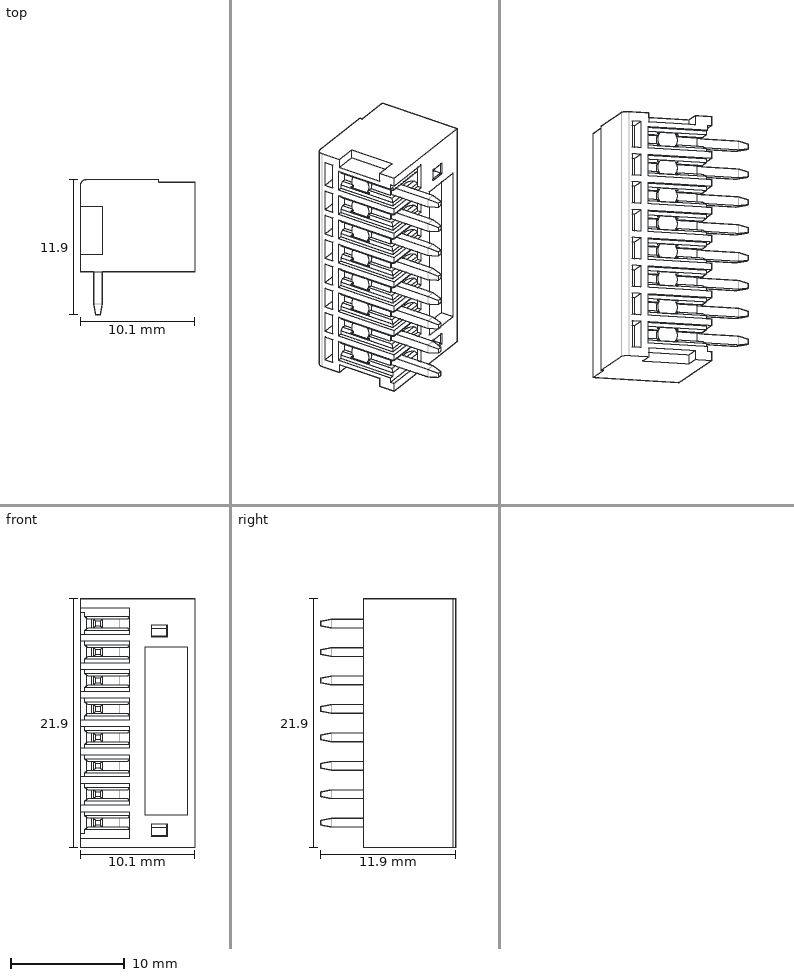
import cadquery as cq
import math

WIDTH = 10.1
DEPTH = 8.12
HEIGHT = 21.9
BACK_RADIUS = 0.53
BACK_STEP_X = 6.88
BACK_STEP = 0.25

PIN_COUNT = 8
ROW_LENGTH = 17.5
PITCH = ROW_LENGTH / (PIN_COUNT - 1)
PIN_SIZE = 0.79
PIN_X = 1.55
PIN_LENGTH = 3.77
PIN_TAPER = 0.96
PIN_TIP = 0.42
PIN_ROOT = 0.22

SLOT_HEIGHT = 1.9
SLOT_WIDTH = 4.34
SLOT_REACH = 5.85
RECESS = 0.37
END_SLOT_EXTRA = 0.44
THROAT_BEVEL_HEIGHT = 0.22
THROAT_BEVEL_DEPTH = 0.28
THROAT_HEIGHT = PIN_SIZE
THROAT_MOUTH = THROAT_HEIGHT + 2 * THROAT_BEVEL_HEIGHT
THROAT_FLOOR_X = 0.99
THROAT_FLOOR_Y = 1.05
THROAT_RADIUS = 0.9

BOSS_RADIUS = 0.9
BOSS_Y = 3.9
BOSS_FACE_X = 0.53
BOSS_CLEARANCE = 0.05

WINDOW_Y = 6.48
WINDOW_WIDTH = 0.79
WINDOW_DEPTH = 1.97

NOTCH_Y = 1.51
NOTCH_LENGTH = 4.25
NOTCH_WIDTH = 1.97
NOTCH_DEPTH = 0.8

POCKET_X = 5.7
POCKET_WIDTH = 3.75
POCKET_HEIGHT = 14.75
POCKET_DEPTH = 1.25
POCKET_SHIFT = -0.68

LATCH_X = 6.25
LATCH_SHIFT = -0.61
LATCH_WIDTH = 1.31
LATCH_HEIGHT = 0.99
LATCH_NECK = 0.77
LATCH_BEVEL = 0.09
CHAMBER_LIP = 0.3
CHAMBER_DROP = 0.09
CHAMBER_EXTRA = 0.33
CHAMBER_DEPTH = 0.88

PIN_LEVELS = [i * PITCH - ROW_LENGTH / 2 for i in range(PIN_COUNT)]


def block(x_range, y_range, z_range):
    """Axis-aligned box between the given limits."""
    sizes = [high - low for low, high in (x_range, y_range, z_range)]
    corner = (x_range[0], y_range[0], z_range[0])
    return cq.Workplane("XY").box(*sizes, centered=False).translate(corner)


def mid_block(x_range, y_range, height):
    """Box whose height is centred on Z = 0."""
    return block(x_range, y_range, (-height / 2, height / 2))


def slot_limits(level):
    """Lower and upper Z of a slot; the two end slots are taller on the outside."""
    low = level - SLOT_HEIGHT / 2
    high = level + SLOT_HEIGHT / 2
    if level == PIN_LEVELS[0]:
        low -= END_SLOT_EXTRA
    if level == PIN_LEVELS[-1]:
        high += END_SLOT_EXTRA
    return low, high


def housing():
    body = mid_block((0, WIDTH), (0, DEPTH), HEIGHT)
    body = body.edges("|Z and <X and >Y").fillet(BACK_RADIUS)
    return body.cut(mid_block((BACK_STEP_X, WIDTH), (DEPTH - BACK_STEP, DEPTH), HEIGHT))


def bevel_section(plane):
    """Half hexagon that narrows from the slot mouth to the throat, going inwards."""
    mouth = THROAT_MOUTH / 2
    throat = THROAT_HEIGHT / 2
    bottom = RECESS + THROAT_BEVEL_DEPTH
    return cq.Workplane(plane).polyline([
        (0, -mouth), (RECESS, -mouth), (bottom, -throat),
        (bottom, throat), (RECESS, mouth), (0, mouth),
    ]).close()


def throat():
    """Narrow L-shaped inside of a slot, with bevelled mouth and the boss left standing."""
    arc_x = SLOT_WIDTH - THROAT_RADIUS
    arc_y = THROAT_FLOOR_Y - THROAT_RADIUS
    arc_mid = THROAT_RADIUS * math.sqrt(0.5)
    outline = (
        cq.Workplane("XY")
        .lineTo(SLOT_WIDTH, 0)
        .lineTo(SLOT_WIDTH, arc_y)
        .threePointArc((arc_x + arc_mid, arc_y + arc_mid), (arc_x, THROAT_FLOOR_Y))
        .lineTo(THROAT_FLOOR_X, THROAT_FLOOR_Y)
        .lineTo(THROAT_FLOOR_X, SLOT_REACH)
        .lineTo(0, SLOT_REACH)
        .close()
    )
    prism = outline.extrude(THROAT_MOUTH / 2, both=True)
    bevels = bevel_section("YZ").extrude(SLOT_WIDTH)
    bevels = bevels.union(bevel_section("XZ").extrude(-SLOT_REACH))
    core = mid_block((0, SLOT_WIDTH), (0, SLOT_REACH), THROAT_HEIGHT)
    cavity = prism.intersect(core.union(bevels))

    boss = (
        cq.Workplane("YZ", origin=(BOSS_FACE_X, 0, 0))
        .center(BOSS_Y, 0)
        .circle(BOSS_RADIUS)
        .extrude(THROAT_FLOOR_X - BOSS_FACE_X)
    )
    half_gap = BOSS_RADIUS + BOSS_CLEARANCE
    boss_span = (BOSS_Y - half_gap, BOSS_Y + half_gap)
    clearance = mid_block((0, BOSS_FACE_X), boss_span, THROAT_MOUTH)
    return cavity.cut(boss).union(clearance)


def slot_recess(level):
    """Wide outer part of a slot on the front and -X faces, plus the window behind it."""
    low, high = slot_limits(level)
    side_low = level - SLOT_HEIGHT / 2
    side_high = level + SLOT_HEIGHT / 2
    front = block((0, SLOT_WIDTH), (0, RECESS), (low, high))
    side = block((0, RECESS), (0, SLOT_REACH), (side_low, side_high))
    window = block((0, WINDOW_DEPTH), (WINDOW_Y, WINDOW_Y + WINDOW_WIDTH), (low, high))
    return front.union(side).union(window)


def pin():
    """Square contact pin with a tapered tip, rooted in the throat floor."""
    shoulder_y = PIN_TAPER - PIN_LENGTH
    shank_end = THROAT_FLOOR_Y + PIN_ROOT
    shank = (
        cq.Workplane("XZ", origin=(PIN_X, shoulder_y, 0))
        .rect(PIN_SIZE, PIN_SIZE)
        .extrude(shoulder_y - shank_end)
    )
    tip = (
        cq.Workplane("XZ", origin=(PIN_X, shoulder_y, 0))
        .rect(PIN_SIZE, PIN_SIZE)
        .workplane(offset=PIN_TAPER)
        .rect(PIN_TIP, PIN_TIP)
        .loft(ruled=True)
    )
    return shank.union(tip)


def end_notch():
    """Notch in the top end, open to the -X face."""
    top = HEIGHT / 2
    return block((0, NOTCH_WIDTH), (NOTCH_Y, NOTCH_Y + NOTCH_LENGTH), (top - NOTCH_DEPTH, top))


def front_pocket():
    pocket = mid_block((POCKET_X, POCKET_X + POCKET_WIDTH), (0, POCKET_DEPTH), POCKET_HEIGHT)
    return pocket.translate((0, 0, POCKET_SHIFT))


def latch_hole():
    """Hole, bevelled on its lower and +X rims, that opens into a small chamber."""
    right = LATCH_X + LATCH_WIDTH
    top = LATCH_HEIGHT / 2
    chamber_end = LATCH_NECK + CHAMBER_DEPTH
    neck = block((LATCH_X, right), (0, LATCH_NECK), (-top, top))
    chamber = block(
        (LATCH_X, right + CHAMBER_EXTRA),
        (LATCH_NECK, chamber_end),
        (-top - CHAMBER_DROP, top - CHAMBER_LIP),
    )
    rim = (
        cq.Workplane("XZ")
        .moveTo(LATCH_X, -top - LATCH_BEVEL)
        .lineTo(right + LATCH_BEVEL, -top - LATCH_BEVEL)
        .lineTo(right + LATCH_BEVEL, top)
        .lineTo(LATCH_X, top)
        .close()
        .workplane(offset=-LATCH_BEVEL)
        .moveTo(LATCH_X, -top)
        .lineTo(right, -top)
        .lineTo(right, top)
        .lineTo(LATCH_X, top)
        .close()
        .loft(ruled=True)
    )
    return neck.union(chamber).union(rim)


result = housing().cut(front_pocket())

notch = end_notch()
result = result.cut(notch).cut(notch.mirror("XY"))

latch = latch_hole()
for level in (PIN_LEVELS[0], PIN_LEVELS[-1]):
    result = result.cut(latch.translate((0, 0, level + LATCH_SHIFT)))

slot_throat = throat()
contact_pin = pin()
for level in PIN_LEVELS:
    result = result.cut(slot_recess(level)).cut(slot_throat.translate((0, 0, level)))
    result = result.union(contact_pin.translate((0, 0, level)))